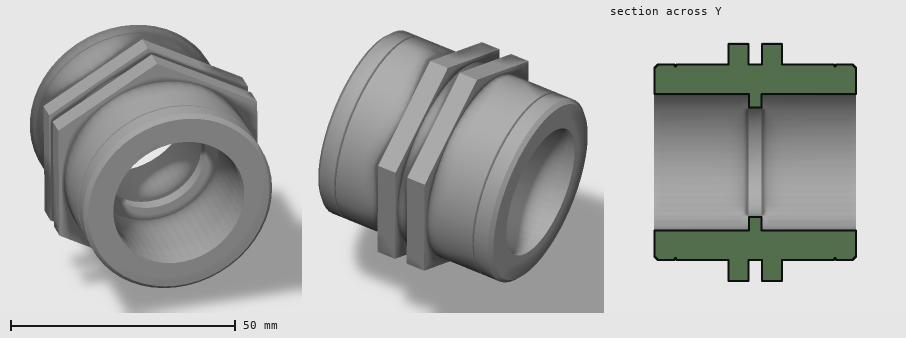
import cadquery as cq
import math

length = 45.0
sleeve_diameter = 43.7
end_chamfer = 0.91

groove_offset = 4.5
groove_width = 0.5
groove_depth = 0.5

hex_across_flats = 46.0
hex_across_corners = hex_across_flats / math.cos(math.radians(30))
hex_thickness = 4.5
hex_gap = 3.0
hex_twist = 0.617

bore_diameter = 30.29
stop_diameter = 24.23
stop_width = hex_gap

middle = length / 2


def cylinder(diameter, start, width):
    """Solid disc along X, from start to start + width."""
    return cq.Workplane("YZ", origin=(start, 0, 0)).circle(diameter / 2).extrude(width)


def hex_collar(start):
    """Hexagonal plate along X with its top corner leaning slightly toward -Y."""
    plate = cq.Workplane("YZ", origin=(start, 0, 0)).polygon(6, hex_across_corners).extrude(hex_thickness)
    return plate.rotate((0, 0, 0), (1, 0, 0), 90 + hex_twist)


def ring_groove(start):
    """V-shaped ring of material to remove from the sleeve surface."""
    surface = sleeve_diameter / 2
    profile = (
        cq.Workplane("XY")
        .moveTo(start, surface)
        .lineTo(start + groove_width / 2, surface - groove_depth)
        .lineTo(start + groove_width, surface)
        .close()
    )
    return profile.revolve(360, (0, 0, 0), (1, 0, 0))


body = cylinder(sleeve_diameter, 0, length).faces("<X or >X").edges().chamfer(end_chamfer)
for start in (groove_offset, length - groove_offset - groove_width):
    body = body.cut(ring_groove(start))
for start in (middle - hex_gap / 2 - hex_thickness, middle + hex_gap / 2):
    body = body.union(hex_collar(start))

bore_depth = (length - stop_width) / 2
for start in (0, length - bore_depth):
    body = body.cut(cylinder(bore_diameter, start, bore_depth))
body = body.cut(cylinder(stop_diameter, 0, length))

result = body